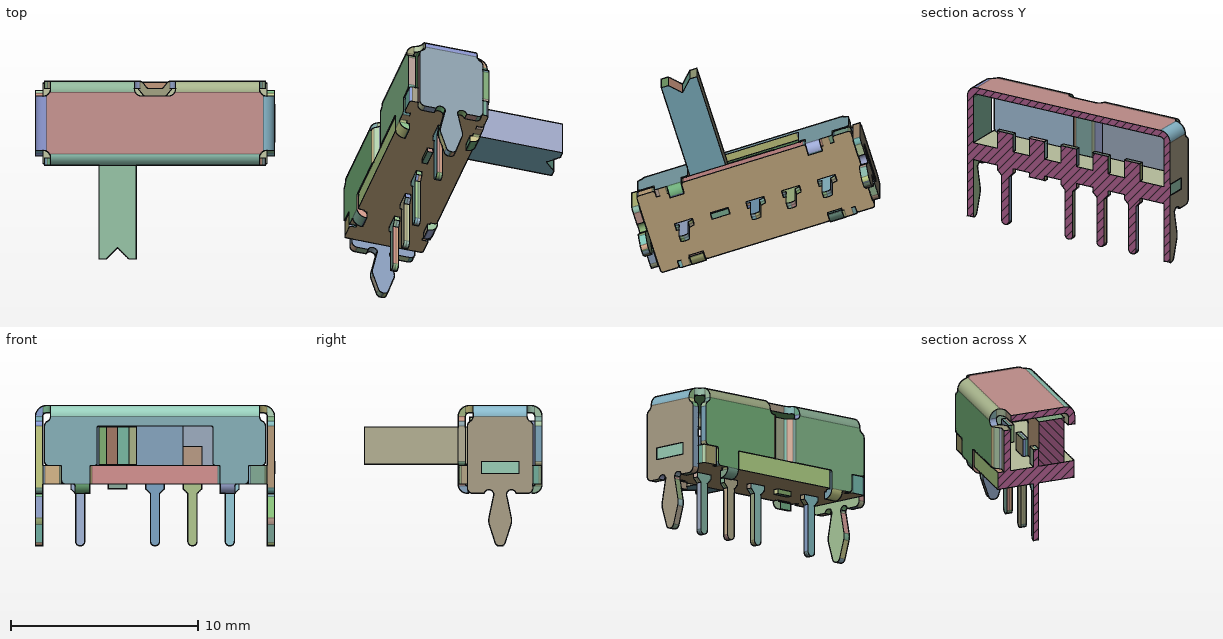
import cadquery as cq
import math


sheet = 0.4
cover_length = 12.77
cover_depth = 4.49
cover_top = 4.2
bend_radius = 0.6
curl_radius = 0.5
curl_reach = 0.55
cover_bottom = -curl_radius
half_length = cover_length / 2
half_depth = cover_depth / 2

side_top_half = 5.58
side_half = 5.9
wall_corner = 0.2
foot_outer = 4.98
foot_inner = 3.48
tab_outer = 4.26
small_round = 0.1

end_top_half = 1.45
end_half = 1.75
end_corner = 0.3

relief_start = 0.75
relief_end = 0.93
relief_round = 0.3
plate_round = sheet

leg_tip = -3.3
leg_neck = 0.35
leg_widest = 0.64
leg_widest_z = -1.98
leg_tip_half = 0.22
leg_waist_round = 0.72
leg_tip_round = 0.25
neck_notch_radius = 0.25
neck_notch_z = -0.56

window_half = 3.1
window_top = 3.1

notch_half = 1.1
notch_bottom = 3.38
notch_round = 0.3
dent_mouth_half = 0.72
dent_floor_half = 0.4
dent_round = 0.19

pad_width = 2.0
pad_height = 0.64
pad_center_z = 0.9
pad_rise = 0.03

base_height = 1.0
base_half_length = half_length - sheet
base_inner_depth = cover_depth - 2 * sheet
lip_recess = 0.05
lip_depth = cover_depth - 2 * lip_recess
lip_round = 0.13

terminal_pitch = 2.0
terminal_thickness = 0.31
blade_width = 1.0
blade_top = 2.0
blade_bottom = -0.25
pin_width = 0.5
pin_places = (-2, 0, 1, 2)
stub_place = -1

lever_size = 2.0
lever_center_x = -2.0
lever_length = 5.0
lever_center_z = (base_height + window_top) / 2
lever_notch_depth = 0.6
carriage_length = 6.99
carriage_top = 3.57
carriage_setback = 0.61
carriage_front = carriage_setback - half_depth
carriage_back = -terminal_thickness / 2

shortest_line = 0.0001


def rounded_wire(plane, corners):
    """Closed outline through (u, v, radius) corners, each rounded by a tangent arc."""
    arcs = []
    for i, (u, v, radius) in enumerate(corners):
        before = corners[i - 1]
        after = corners[(i + 1) % len(corners)]
        angle_in = math.atan2(before[1] - v, before[0] - u)
        angle_out = math.atan2(after[1] - v, after[0] - u)
        half_angle = abs(math.remainder(angle_out - angle_in, 2 * math.pi)) / 2
        setback = radius / math.tan(half_angle)
        start = (u + setback * math.cos(angle_in), v + setback * math.sin(angle_in))
        end = (u + setback * math.cos(angle_out), v + setback * math.sin(angle_out))
        bisector = angle_in + math.remainder(angle_out - angle_in, 2 * math.pi) / 2
        to_arc = radius / math.sin(half_angle) - radius
        middle = (u + to_arc * math.cos(bisector), v + to_arc * math.sin(bisector))
        arcs.append((radius, start, middle, end))
    sketch = cq.Workplane(plane).moveTo(*arcs[0][3])
    last = arcs[0][3]
    for radius, start, middle, end in arcs[1:] + arcs[:1]:
        if math.dist(last, start) > shortest_line:
            sketch = sketch.lineTo(*start)
        if radius > 0:
            sketch = sketch.threePointArc(middle, end)
        last = end
    return sketch.close()


def mirrored(right_half):
    """Corner list of an outline that is symmetric about u = 0, given its right half."""
    left_half = [(-u, v, radius) for u, v, radius in reversed(right_half)]
    return right_half + left_half


def block(x_range, y_range, z_range):
    """Box between the given limits."""
    size = [high - low for low, high in (x_range, y_range, z_range)]
    return cq.Workplane("XY").box(*size, centered=False).translate((x_range[0], y_range[0], z_range[0]))


def bent_tube(plane, half_width, length):
    """Closed sheet section with bends at the top and curls at the bottom."""
    def section(inset):
        corners = [
            (half_width - inset, cover_bottom + inset, curl_radius - inset),
            (half_width - inset, cover_top - inset, bend_radius - inset),
        ]
        return rounded_wire(plane, mirrored(corners)).extrude(length / 2, both=True)
    return section(0).cut(section(sheet))


def relief_edge(top_half, full_half):
    """Corners of a wall's upper edge, narrow at the bend and widening below it."""
    return [
        (full_half, cover_top - relief_end, relief_round),
        (top_half, cover_top - relief_start, relief_round),
        (top_half, cover_top, 0),
    ]


def side_walls():
    """Top plate with the front and back walls and the tabs curled under the base."""
    outline = [
        (foot_inner, base_height, small_round),
        (foot_inner, cover_bottom, 0),
        (tab_outer, cover_bottom, 0),
        (tab_outer, 0, small_round),
        (foot_outer, 0, wall_corner),
        (foot_outer, base_height, small_round),
        (side_half, base_height, wall_corner),
    ] + relief_edge(side_top_half, side_half)
    walls = bent_tube("YZ", half_depth, cover_length)
    walls = walls.intersect(rounded_wire("XZ", mirrored(outline)).extrude(cover_depth, both=True))
    inner_half = half_depth - curl_reach
    return walls.cut(block((-half_length, half_length), (-inner_half, inner_half), (cover_bottom, 0)))


def end_walls():
    """Top plate with both end walls and their mounting legs."""
    wall = [(end_half, cover_bottom, end_corner)] + relief_edge(end_top_half, end_half)
    leg = [
        (leg_tip_half, leg_tip, leg_tip_round),
        (leg_widest, leg_widest_z, leg_waist_round),
        (leg_neck, neck_notch_z, 0),
        (leg_neck, 0, 0),
    ]
    y_range = (-end_half, end_half)
    outer_span = (-half_length, half_length)
    inner_span = (-base_half_length, base_half_length)
    curl_zone = (cover_bottom, curl_radius)
    straight_ends = block(outer_span, y_range, curl_zone).cut(block(inner_span, y_range, curl_zone))
    bends = bent_tube("XZ", half_length, 2 * end_half).cut(block(outer_span, y_range, curl_zone))
    ends = bends.union(straight_ends)
    ends = ends.intersect(rounded_wire("YZ", mirrored(wall)).extrude(cover_length, both=True))
    legs = rounded_wire("YZ", mirrored(leg)).extrude(half_length, both=True)
    legs = legs.cut(block(inner_span, y_range, (leg_tip, cover_top)))
    notch_y = leg_neck + neck_notch_radius
    notches = (
        cq.Workplane("YZ")
        .pushPoints([(-notch_y, neck_notch_z), (notch_y, neck_notch_z)])
        .circle(neck_notch_radius)
        .extrude(half_length, both=True)
    )
    return ends.union(legs).cut(notches)


def plate_corners():
    """Rounded inner corners of the top plate, between the side and end walls."""
    span = (side_top_half + plate_round, end_top_half + plate_round)
    height = (cover_top - bend_radius, cover_top)
    filler = block((-span[0], span[0]), (-span[1], span[1]), height)
    centers = [(sx * span[0], sy * span[1]) for sx in (-1, 1) for sy in (-1, 1)]
    rounds = (
        cq.Workplane("XY").workplane(offset=height[0])
        .pushPoints(centers).circle(plate_round).extrude(bend_radius)
    )
    bends_along_x = bent_tube("YZ", half_depth, cover_length)
    bends_along_y = bent_tube("XZ", half_length, cover_depth)
    return filler.cut(rounds).intersect(bends_along_x).intersect(bends_along_y)


def front_window():
    """Opening for the lever, flaring into the cut-out for the base lip."""
    outline = [
        (foot_inner - small_round, 0, 0),
        (foot_inner - small_round, base_height, 0),
        (window_half, base_height, small_round),
        (window_half, window_top, small_round),
    ]
    return rounded_wire("XZ", mirrored(outline)).extrude(cover_depth)


def back_notch():
    """Notch through the top bend of the back wall."""
    notch = block((-notch_half, notch_half), (end_top_half, cover_depth), (notch_bottom, cover_top))
    return notch.edges("|Z and <Y").fillet(plate_round).edges("|Y and <Z").fillet(notch_round)


def dent_prism(corners):
    """Upright prism of a dent outline, from the base lip up to the back notch."""
    prism = rounded_wire("XY", mirrored(corners)).extrude(notch_bottom - base_height)
    return prism.translate((0, 0, base_height))


def dent_hollow():
    """Trapezoid groove pressed into the outer face of the back wall."""
    flare_half = dent_mouth_half + 2 * dent_round
    return dent_prism([
        (flare_half, half_depth + sheet, 0),
        (flare_half, half_depth, 0),
        (dent_mouth_half, half_depth, dent_round),
        (dent_floor_half, half_depth - sheet, dent_round),
    ])


def dent_body():
    """The groove grown by the sheet thickness, which stands proud inside the back wall."""
    slope = math.atan2(sheet, dent_mouth_half - dent_floor_half)
    widening = sheet * math.tan(slope / 2)
    return dent_prism([
        (dent_mouth_half + widening, half_depth, 0),
        (dent_mouth_half + widening, half_depth - sheet, 0),
        (dent_floor_half + widening, half_depth - 2 * sheet, dent_round),
    ])


def make_cover():
    cover = side_walls().union(end_walls()).union(plate_corners())
    cover = cover.cut(front_window()).cut(back_notch())
    cover = cover.union(dent_body()).cut(dent_hollow())
    pad = block(
        (half_length - sheet, half_length + pad_rise),
        (-pad_width / 2, pad_width / 2),
        (pad_center_z - pad_height / 2, pad_center_z + pad_height / 2),
    )
    return cover.union(pad)


def make_base():
    """Floor slab with a lip in the middle and a block at each end, all filling the cover's cut-outs."""
    base = block(
        (-base_half_length, base_half_length),
        (-base_inner_depth / 2, base_inner_depth / 2),
        (0, base_height),
    )
    end_bar = (foot_outer, base_half_length)
    for x_range in ((-end_bar[1], -end_bar[0]), (-foot_inner, foot_inner), end_bar):
        bar = block(x_range, (-lip_depth / 2, lip_depth / 2), (0, base_height))
        base = base.union(bar.edges("|Z").fillet(lip_round))
    return base


def terminal(place, has_pin):
    """Flat contact blade through the base, with or without a solder pin."""
    half_blade = blade_width / 2
    half_pin = pin_width / 2
    outline = [(half_blade, blade_bottom, 0), (half_blade, blade_top, 0)]
    if has_pin:
        shoulder_z = blade_bottom - (half_blade - half_pin)
        outline = [(half_pin, leg_tip, half_pin), (half_pin, shoulder_z, 0)] + outline
    shape = rounded_wire("XZ", mirrored(outline)).extrude(terminal_thickness / 2, both=True)
    return shape.translate((place * terminal_pitch, 0, 0))


def make_housing():
    """Cover, base and terminals as one body."""
    housing = make_cover().union(make_base())
    for place in pin_places:
        housing = housing.union(terminal(place, True))
    return housing.union(terminal(stub_place, False))


def make_slider():
    """Carriage on the base floor with a lever that ends in a V-notch."""
    carriage = block(
        (lever_center_x - carriage_length / 2, lever_center_x + carriage_length / 2),
        (carriage_front, carriage_back),
        (base_height, carriage_top),
    )
    tip_y = -half_depth - lever_length
    half = lever_size / 2
    lever = (
        cq.Workplane("XY")
        .polyline([
            (-half, carriage_front),
            (-half, tip_y),
            (-lever_notch_depth, tip_y),
            (0, tip_y + lever_notch_depth),
            (lever_notch_depth, tip_y),
            (half, tip_y),
            (half, carriage_front),
        ])
        .close()
        .extrude(lever_size)
        .translate((lever_center_x, 0, lever_center_z - half))
    )
    return carriage.union(lever)


housing = make_housing().solids()
slider = make_slider().solids()

result = cq.Compound.makeCompound([housing.val(), slider.val()])